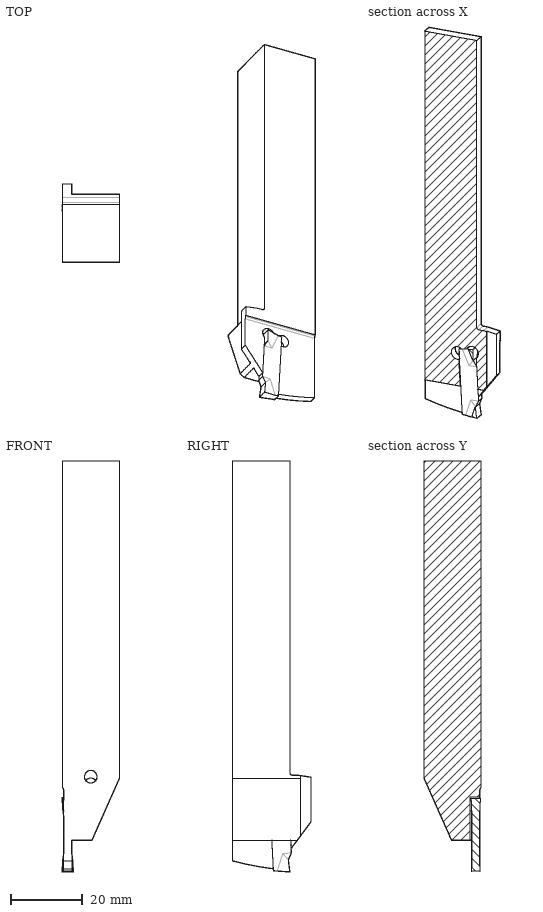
import cadquery as cq
import math

TOTAL_HEIGHT = 114.3

SHANK_X = 15.9
SHANK_Y = 16.0

HEAD_BACK_Y = 21.8
SHOULDER_Z = 27.0
SHOULDER_SLOPE_Y = 18.1
SHOULDER_BACK_Z = 26.4
SHOULDER_FILLET = 0.6
BACK_TAPER_TOP_Z = 14.0
BACK_TAPER_END = (15.9, 6.0)
NOSE_BACK = (12.0, 0.8)
NOSE_FRONT_Z = 3.1
NOSE_SAGITTA = 0.2

FLANK_TOP_Z = 26.1
FLANK_BOTTOM_X = 8.2
BLOCK_BOTTOM_Z = 8.8
BLADE_RECESS = 0.3
BLADE_THICKNESS = 2.3
BLADE_BACK_X = BLADE_RECESS + BLADE_THICKNESS
RECESS_TOP_Z = 23.5
RECESS_RUNOUT_ANGLE = 30.0
RECESS_FILLET = 1.4
RECESS_CORNER_Z = RECESS_TOP_Z - BLADE_RECESS / math.tan(math.radians(RECESS_RUNOUT_ANGLE))
BLOCK_BACK_Y = 19.0

SCREW_DIAMETER = 3.4
SCREW_X = 7.9
SCREW_Z = 26.5
SCREW_TILT = 13.0
SCREW_DEPTH = 9.1

INSERT_HALF_LENGTH = 10.4
INSERT_WIDTH = 5.3
INSERT_LEAN = 3.0
TIP_V = 0.7
NOTCH_U = 7.0
NOTCH_V = 0.9
HUMP_U = 5.1
END_CLEARANCE_ANGLE = 7.0
CUTTING_WIDTH = 3.2
FLARE = (CUTTING_WIDTH - BLADE_THICKNESS) / 2
FLARE_ROOT_V = 2.4
FLARE_END_V = 4.2
INSERT_Y = 16.1
LEAN = math.radians(INSERT_LEAN)
INSERT_Z = INSERT_HALF_LENGTH * math.cos(LEAN) + TIP_V * math.sin(LEAN)

RELIEF_RADIUS = 1.8
RELIEF_CENTRES = [(14.5, 19.7), (10.1, 18.7)]
SEAT_FLOOR_X = BLADE_BACK_X + FLARE


def end_u(v):
    """U of the insert's end face at depth v; it falls back from the tip at the clearance angle."""
    return INSERT_HALF_LENGTH - (v - TIP_V) * math.tan(math.radians(END_CLEARANCE_ANGLE))


INSERT_PLANE = cq.Plane(
    origin=(BLADE_RECESS, INSERT_Y, INSERT_Z),
    xDir=(0, -math.cos(LEAN), -math.sin(LEAN)),
    normal=(-1, 0, 0),
)


def make_blank():
    """Shank and head: the side outline through the full width, trimmed to the front outline."""
    side = (
        cq.Workplane("YZ")
        .moveTo(0, NOSE_FRONT_Z)
        .lineTo(0, TOTAL_HEIGHT)
        .lineTo(SHANK_Y, TOTAL_HEIGHT)
        .lineTo(SHANK_Y, SHOULDER_Z)
        .lineTo(SHOULDER_SLOPE_Y, SHOULDER_Z)
        .lineTo(HEAD_BACK_Y, SHOULDER_BACK_Z)
        .lineTo(HEAD_BACK_Y, BACK_TAPER_TOP_Z)
        .lineTo(*BACK_TAPER_END)
        .lineTo(*NOSE_BACK)
        .sagittaArc((0, NOSE_FRONT_Z), NOSE_SAGITTA)
        .close()
        .extrude(SHANK_X)
        .edges(cq.selectors.NearestToPointSelector((SHANK_X / 2, SHANK_Y, SHOULDER_Z)))
        .fillet(SHOULDER_FILLET)
    )
    front = (
        cq.Workplane("XZ")
        .polyline([
            (0, RECESS_TOP_Z),
            (0, TOTAL_HEIGHT),
            (SHANK_X, TOTAL_HEIGHT),
            (SHANK_X, FLANK_TOP_Z),
            (FLANK_BOTTOM_X, BLOCK_BOTTOM_Z),
            (BLADE_BACK_X, BLOCK_BOTTOM_Z),
            (BLADE_BACK_X, 0),
            (BLADE_RECESS, 0),
            (BLADE_RECESS, RECESS_CORNER_Z),
        ])
        .close()
        .extrude(-HEAD_BACK_Y)
        .edges(cq.selectors.NearestToPointSelector((BLADE_RECESS, HEAD_BACK_Y / 2, RECESS_CORNER_Z)))
        .fillet(RECESS_FILLET)
    )
    return side.intersect(front)


def make_block_step():
    """Space behind the block, leaving only the blade at the back."""
    return cq.Workplane("XY").box(
        SHANK_X, HEAD_BACK_Y, TOTAL_HEIGHT, centered=False
    ).translate((BLADE_BACK_X, BLOCK_BACK_Y, 0))


def make_screw_hole():
    tilt = math.radians(SCREW_TILT)
    axis = cq.Vector(0, math.cos(tilt), -math.sin(tilt))
    lead = SCREW_DIAMETER
    start = cq.Vector(SCREW_X, 0, SCREW_Z) - axis * lead
    return cq.Solid.makeCylinder(SCREW_DIAMETER / 2, SCREW_DEPTH + lead, start, axis)


def make_seat():
    """Open-ended slot for the insert, with a round relief at each inner corner."""
    depth = SEAT_FLOOR_X - BLADE_RECESS
    open_end_u = -2 * INSERT_HALF_LENGTH
    slot = (
        cq.Workplane(INSERT_PLANE)
        .polyline([
            (0, open_end_u),
            (0, end_u(0)),
            (INSERT_WIDTH, end_u(INSERT_WIDTH)),
            (INSERT_WIDTH, open_end_u),
        ])
        .close()
        .extrude(-depth)
    )
    reliefs = (
        cq.Workplane("YZ", origin=(BLADE_RECESS, 0, 0))
        .pushPoints(RELIEF_CENTRES)
        .circle(RELIEF_RADIUS)
        .extrude(depth)
    )
    return slot.union(reliefs)


def make_holder():
    return make_blank().cut(make_block_step()).cut(cq.Workplane(make_screw_hole())).cut(make_seat())


def make_flare():
    """Wedge that widens one side of the insert towards one cutting tip, in insert coordinates."""
    hump = cq.Vector(0, HUMP_U, 0)
    notch = cq.Vector(NOTCH_V, NOTCH_U, 0)
    tip = cq.Vector(TIP_V, INSERT_HALF_LENGTH, 0)
    end = cq.Vector(FLARE_END_V, end_u(FLARE_END_V), 0)
    root = cq.Vector(FLARE_ROOT_V, HUMP_U, 0)
    edge = end - root
    notch_share = (notch - root).cross(edge).z / (tip - root).cross(edge).z
    raised_tip = tip + cq.Vector(0, 0, FLARE)
    raised_notch = notch + cq.Vector(0, 0, FLARE * notch_share)
    loops = [
        [hump, notch, tip, end, root],
        [hump, notch, raised_notch],
        [notch, tip, raised_tip, raised_notch],
        [tip, end, raised_tip],
        [root, end, raised_tip, raised_notch],
        [hump, root, raised_notch],
    ]
    faces = [cq.Face.makeFromWires(cq.Wire.makePolygon(loop, close=True)) for loop in loops]
    return cq.Workplane(cq.Solid.makeSolid(cq.Shell.makeShell(faces)))


def make_insert():
    """Double-ended insert: a flat middle as thick as the blade, with flared cutting heads."""
    lower_half = [
        (0, -HUMP_U),
        (NOTCH_V, -NOTCH_U),
        (TIP_V, -INSERT_HALF_LENGTH),
        (INSERT_WIDTH, -end_u(INSERT_WIDTH)),
    ]
    upper_half = [(v, -u) for v, u in reversed(lower_half)]
    insert = cq.Workplane("XY").polyline(lower_half + upper_half).close().extrude(-BLADE_THICKNESS)
    outer_top = make_flare()
    inner_top = outer_top.mirror("XY", (0, 0, -BLADE_THICKNESS / 2))
    for flare in (outer_top, inner_top):
        insert = insert.union(flare).union(flare.mirror("XZ"))
    return cq.Workplane(insert.val().moved(cq.Location(INSERT_PLANE)))


holder = make_holder()
insert = make_insert()

result = cq.Compound.makeCompound([holder.solids().val(), insert.solids().val()])